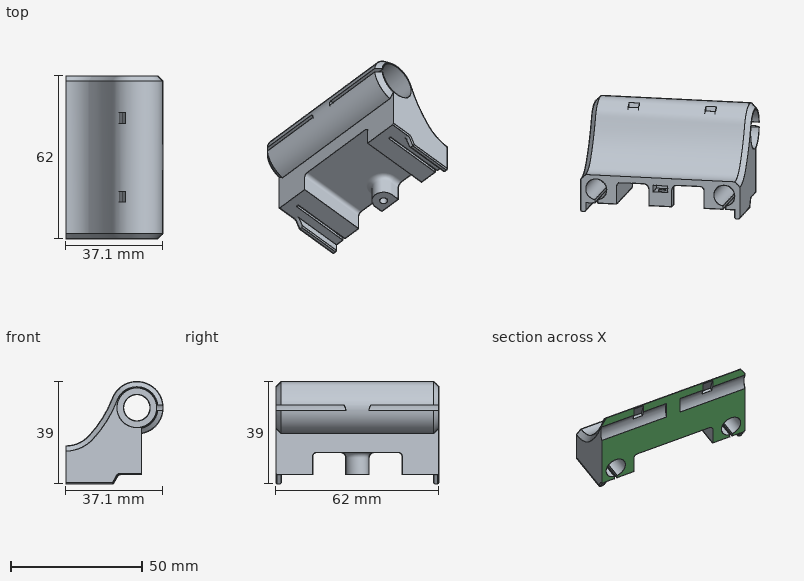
import cadquery as cq
import math

length = 62.0
half_length = length / 2
body_depth = 28.9
front_height = 14.5

tube_x = 27.05
tube_z = 29.0
tube_radius = 10.0
seat_diameter = 15.1
bore_diameter = 10.0
stop_width = 6.0
end_chamfer = 2.0

toe_radius = 12.0
toe_sweep = math.radians(47)
blend_angle = math.radians(160)

deck_z = 3.55
skirt_width = 2.05
skirt_depth = 18.05
skirt_run = deck_z * math.tan(math.radians(30))
skirt_blend = 1.0
skirt_chamfer = 0.5

socket_diameter = 8.1
socket_y = 24.9
socket_z = 8.9
socket_depth = 24.8
socket_slit = 1.05

recess_half_width = 17.0
recess_top = 11.95
recess_fillet = 1.5
post_fillet = 2.0
post_radius = 4.45
post_x = 3.5

screw_diameter = 3.0
nut_width = 5.65
nut_bottom = 9.05
nut_thickness = 2.55

tie_y = 14.95
tie_width = 4.0
tie_top_x = 22.75
tie_top_z = 38.05
tie_thickness = 1.55
tie_length = 8.7
tie_tilt = 19.0

slot_width = 1.9
relief_diameter = 6.0
relief_y = 7.45

overrun = 6.2
margin = 0.3


def on_tube(angle):
    """Point of the tube outline at an angle measured from +X in the XZ plane."""
    return (
        tube_x + tube_radius * math.cos(angle),
        tube_z + tube_radius * math.sin(angle),
    )


def box(x_range, y_range, z_range):
    """Axis-aligned box given by its limits."""
    size = [high - low for low, high in (x_range, y_range, z_range)]
    corner = (x_range[0], y_range[0], z_range[0])
    return cq.Workplane("XY").box(*size, centered=False).translate(corner)


def y_cylinder(diameter, y_start, y_end):
    """Cylinder on the tube axis between two Y positions."""
    return (
        cq.Workplane("XZ", origin=(tube_x, y_start, tube_z))
        .circle(diameter / 2)
        .extrude(y_start - y_end)
    )


def make_body():
    """Side profile extruded along Y, with the ends of the concave back chamfered."""
    toe_mid = toe_sweep / 2
    toe_points = [
        (toe_radius * math.sin(a), front_height + toe_radius * (1 - math.cos(a)))
        for a in (toe_mid, toe_sweep)
    ]
    body = (
        cq.Workplane("XZ", origin=(0, half_length, 0))
        .lineTo(0, front_height)
        .threePointArc(*toe_points)
        .tangentArcPoint(on_tube(blend_angle), relative=False)
        .lineTo(tube_x, tube_z)
        .lineTo(body_depth, tube_z)
        .lineTo(body_depth, deck_z)
        .lineTo(skirt_depth + skirt_run, deck_z)
        .lineTo(skirt_depth, 0)
        .close()
        .extrude(length)
    )
    body = body.faces("<Y or >Y").edges("%CIRCLE").chamfer(end_chamfer)
    skirt_corner = cq.selectors.BoxSelector(
        (skirt_depth + skirt_run - margin, -length, deck_z - margin),
        (skirt_depth + skirt_run + margin, length, deck_z + margin),
    )
    return body.edges("|Y").edges(skirt_corner).fillet(skirt_blend)


def make_tube():
    """Full tube cylinder with chamfered ends."""
    tube = y_cylinder(2 * tube_radius, -half_length, half_length)
    return tube.faces("<Y or >Y").chamfer(end_chamfer)


def cut_underside(part):
    """Leave a thin skirt along each end and break its lower edges."""
    inner = half_length - skirt_width
    part = part.cut(box((-overrun, body_depth), (-inner, inner), (-overrun, deck_z)))
    outer_lower = cq.selectors.BoxSelector(
        (-margin, -length, -margin), (body_depth - margin, length, deck_z + margin)
    )
    part = part.faces("<Y or >Y").edges(outer_lower).chamfer(skirt_chamfer)
    tips = part.faces("<Z").edges("|X")
    between_skirts = cq.selectors.BoxSelector(
        (-margin, -inner - margin, -margin), (length, inner + margin, margin)
    )
    return tips.edges(between_skirts).chamfer(skirt_chamfer)


def make_recess():
    """Wide underside recess that leaves a round-backed post at the front."""
    block = box(
        (-overrun, body_depth + overrun),
        (-recess_half_width, recess_half_width),
        (-overrun, recess_top),
    )
    post = box((-2 * overrun, post_x), (-post_radius, post_radius), (-overrun, recess_top))
    post = post.union(
        cq.Workplane("XY", origin=(post_x, 0, -overrun))
        .circle(post_radius)
        .extrude(recess_top + overrun)
    )
    block = block.faces(">Z").edges("|X").fillet(recess_fillet)
    post_top = cq.selectors.BoxSelector(
        (-overrun, -post_radius - margin, recess_top - margin),
        (post_x + post_radius + margin, post_radius + margin, recess_top + margin),
    )
    return block.cut(post).faces(">Z").edges(post_top).fillet(post_fillet)


def make_nut_trap():
    """Vertical screw hole and a flat-ended nut slot open to the front."""
    screw = cq.Workplane("XY", origin=(post_x, 0, 0)).circle(screw_diameter / 2)
    screw = screw.extrude(nut_bottom + nut_thickness)
    trap = box(
        (-overrun, post_x + nut_width / 2),
        (-nut_width / 2, nut_width / 2),
        (nut_bottom, nut_bottom + nut_thickness),
    )
    return screw.union(trap)


def make_socket(y):
    """Blind rod socket with a clamping slit below it."""
    bore = (
        cq.Workplane("YZ", origin=(0, y, socket_z))
        .circle(socket_diameter / 2)
        .extrude(socket_depth)
    )
    slit = box(
        (0, socket_depth), (y - socket_slit / 2, y + socket_slit / 2), (0, socket_z)
    )
    return bore.union(slit)


def make_tie_tunnel(y):
    """Tilted flat tunnel from the top of the tube past the bearing seat."""
    tunnel = box(
        (-tie_thickness, 0), (-tie_width / 2, tie_width / 2), (-tie_length, overrun)
    )
    return tunnel.rotate((0, 0, 0), (0, 1, 0), tie_tilt).translate((tie_top_x, y, tie_top_z))


def make_slot(side):
    """Expansion slot from one tube end to its rounded inner end."""
    y_range = sorted((side * relief_y, side * (half_length + overrun)))
    x_range = (tube_x, tube_x + tube_radius + overrun)
    slot_bottom = tube_z - slot_width / 2
    z_range = (slot_bottom, slot_bottom + slot_width)
    relief = (
        cq.Workplane("YZ", origin=(tube_x, side * relief_y, slot_bottom))
        .circle(relief_diameter / 2)
        .extrude(tube_radius + overrun)
    )
    inner_end = sorted((side * stop_width / 2, side * half_length))
    rounded_end = relief.intersect(box(x_range, inner_end, z_range))
    return box(x_range, y_range, z_range).union(rounded_end)


result = cut_underside(make_body()).union(make_tube())
result = result.cut(make_recess()).cut(make_nut_trap())
result = result.cut(y_cylinder(bore_diameter, -half_length, half_length))
for side in (-1, 1):
    seat_range = sorted((side * stop_width / 2, side * half_length))
    result = result.cut(y_cylinder(seat_diameter, *seat_range))
    result = result.cut(make_socket(side * socket_y))
    result = result.cut(make_tie_tunnel(side * tie_y))
    result = result.cut(make_slot(side))